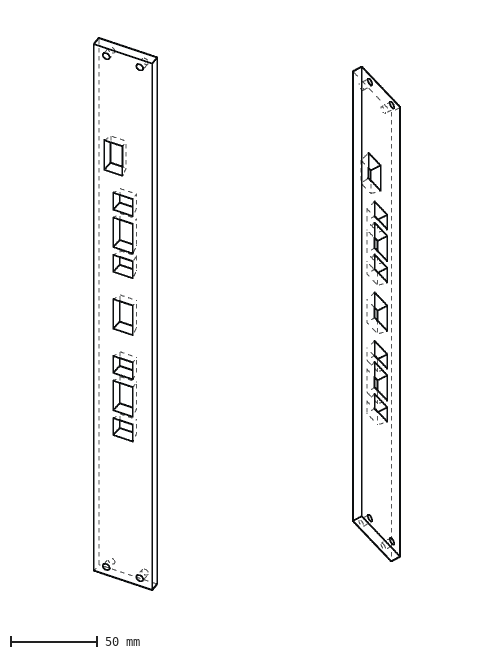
import cadquery as cq
import math

panel_width = 38.0
panel_thickness = 6.5
panel_height = 396.2

hole_diameter = 4.5
hole_spacing_x = 21.8
hole_edge_distance = 6.0
hole_spacing_z = panel_height - 2 * hole_edge_distance

window_wall_inset = 1.0
window_taper = math.degrees(math.atan2(window_wall_inset, panel_thickness))

window_width = 12.5
tall_window_height = 22.0
small_window_height = 12.5
tall_window_offset = 61.5
small_window_gap = 23.5
small_window_offsets = (tall_window_offset - small_window_gap, tall_window_offset + small_window_gap)

side_window_width = 12.0
side_window_x = -6.5
side_window_z = 117.3


def cut_windows(panel, centers, width, height):
    """Cut tapered through windows, sized at the front face, at the given (x, z) centres."""
    cutters = (
        cq.Workplane("XZ", origin=(0, -panel_thickness / 2, 0))
        .pushPoints(centers)
        .rect(width, height)
        .extrude(-panel_thickness, taper=window_taper)
    )
    return panel.cut(cutters)


def mirrored(offsets):
    """Centreline positions above and below the panel middle."""
    return [(0, sign * offset) for offset in offsets for sign in (1, -1)]


panel = cq.Workplane("XY").box(panel_width, panel_thickness, panel_height)

panel = (
    panel.faces("<Y")
    .workplane(origin=(0, 0, 0))
    .rect(hole_spacing_x, hole_spacing_z, forConstruction=True)
    .vertices()
    .hole(hole_diameter)
)

tall_centers = [(0, 0)] + mirrored([tall_window_offset])
panel = cut_windows(panel, tall_centers, window_width, tall_window_height)
panel = cut_windows(panel, mirrored(small_window_offsets), window_width, small_window_height)
panel = cut_windows(panel, [(side_window_x, side_window_z)], side_window_width, tall_window_height)

result = panel